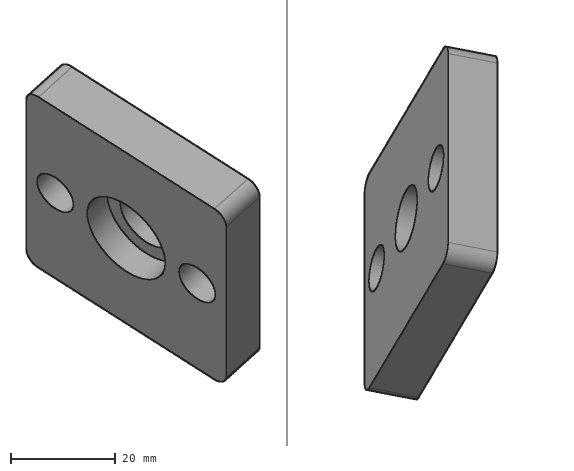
import cadquery as cq

side = 50.0
thickness = 10.0
corner_radius = 3.0

bore_diameter = 13.0
counterbore_diameter = 19.5
counterbore_depth = 6.0

side_hole_diameter = 9.1
side_hole_offset = 17.75

plate = (
    cq.Workplane("XY")
    .box(side, thickness, side)
    .edges("|Y")
    .fillet(corner_radius)
)

with_bore = (
    plate.faces("<Y")
    .workplane(centerOption="CenterOfBoundBox")
    .cboreHole(bore_diameter, counterbore_diameter, counterbore_depth)
)

result = (
    with_bore.faces("<Y")
    .workplane(centerOption="CenterOfBoundBox")
    .pushPoints([(-side_hole_offset, 0), (side_hole_offset, 0)])
    .hole(side_hole_diameter)
)